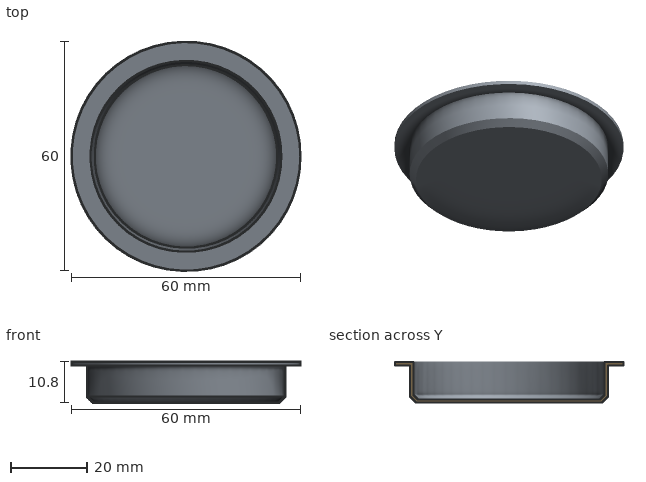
import cadquery as cq
import math

flange_diameter = 60.0
body_diameter = 52.0
recess_diameter = 50.0
total_height = 10.8
flange_thickness = 1.0
base_chamfer = 1.7

wall = (body_diameter - recess_diameter) / 2
recess_chamfer = base_chamfer - wall * (2 - math.sqrt(2))
recess_depth = total_height - wall

body = (
    cq.Workplane("XY")
    .circle(body_diameter / 2)
    .extrude(total_height)
    .faces("<Z")
    .chamfer(base_chamfer)
)

flange = (
    cq.Workplane("XY")
    .workplane(offset=total_height - flange_thickness)
    .circle(flange_diameter / 2)
    .extrude(flange_thickness)
)

recess = (
    cq.Workplane("XY")
    .workplane(offset=wall)
    .circle(recess_diameter / 2)
    .extrude(recess_depth)
    .faces("<Z")
    .chamfer(recess_chamfer)
)

result = body.union(flange).cut(recess)